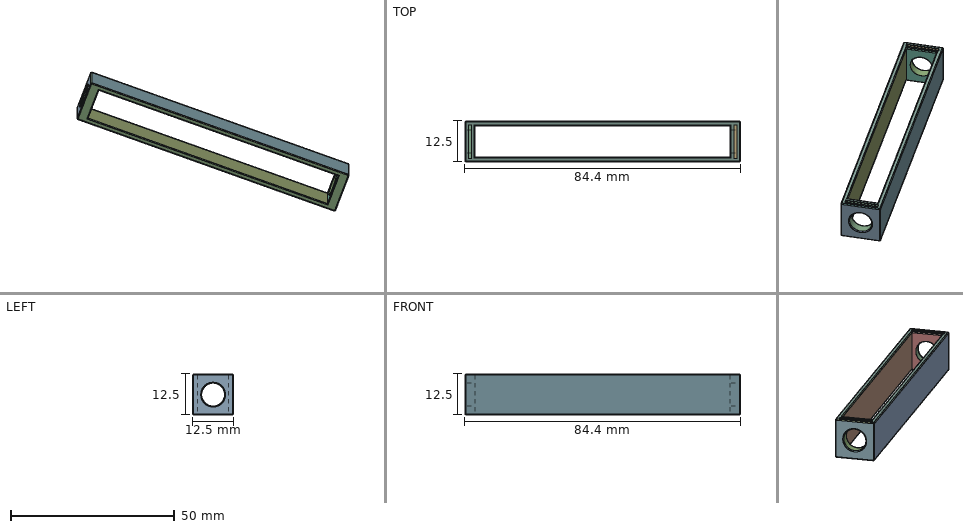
import cadquery as cq

length = 84.4
width = 12.5
height = 12.5

end_wall = 3.1
side_wall = 1.5
window_length = length - 2 * end_wall
window_width = width - 2 * side_wall

bore_diameter = 7.0

slot_width = 0.9
slot_length = 10.3
slot_depth = 0.2
slot_offset = 1.1
slot_x = length / 2 - slot_offset - slot_width / 2

edge_chamfer = 0.295


def make_block():
    """Solid block with every outer edge chamfered."""
    return cq.Workplane("XY").box(length, width, height).edges().chamfer(edge_chamfer)


def make_window():
    """Rectangular cutter for the window, flared at its top and bottom rims."""
    cutter = cq.Workplane("XY").box(window_length, window_width, height)
    for side in (1, -1):
        rim = (
            cq.Workplane("XY", origin=(0, 0, side * (height / 2 - edge_chamfer)))
            .rect(window_length, window_width)
            .workplane(offset=side * edge_chamfer)
            .rect(window_length + 2 * edge_chamfer, window_width + 2 * edge_chamfer)
            .loft(ruled=True)
        )
        cutter = cutter.union(rim)
    return cutter


def make_bore():
    """Bore cutter as a revolved profile about X, widening at each end face."""
    radius = bore_diameter / 2
    half = length / 2
    return (
        cq.Workplane("XY")
        .moveTo(-half, 0)
        .lineTo(-half, radius + edge_chamfer)
        .lineTo(-half + edge_chamfer, radius)
        .lineTo(half - edge_chamfer, radius)
        .lineTo(half, radius + edge_chamfer)
        .lineTo(half, 0)
        .close()
        .revolve(360, (0, 0, 0), (1, 0, 0))
    )


def make_slots():
    """Cutter for the two cross slots in the top face."""
    return (
        cq.Workplane("XY", origin=(0, 0, height / 2 - slot_depth))
        .pushPoints([(-slot_x, 0), (slot_x, 0)])
        .rect(slot_width, slot_length)
        .extrude(slot_depth)
    )


result = make_block().cut(make_window()).cut(make_bore()).cut(make_slots())